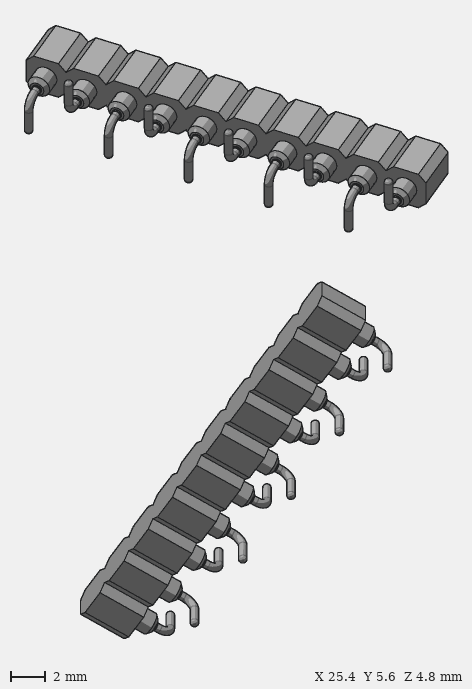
import cadquery as cq

cell_count = 10
housing_length = 25.4
pitch = housing_length / cell_count
housing_height = 2.55
housing_depth = 3.0
cell_chamfer = 0.48

sleeve_diameter = 1.37
sleeve_length = 1.22
sleeve_chamfer = 0.25
collar_diameter = 0.58
collar_length = 0.1

overall_depth = 5.6
pin_span = 4.8
pin_diameter = 0.5
bend_radius = 0.74
tip_round = 0.2

pin_reach = overall_depth - housing_depth - pin_diameter / 2
pin_height = pin_span / 2


def cell_center(index):
    return (index - (cell_count - 1) / 2) * pitch


def make_cell(index):
    """One housing cell, front face on the plane Y = 0."""
    return (
        cq.Workplane("XY")
        .box(pitch, housing_depth, housing_height)
        .edges("|Y")
        .chamfer(cell_chamfer)
        .translate((cell_center(index), housing_depth / 2, 0))
    )


def make_sleeve():
    """Round sleeve with a chamfered front rim and a thin collar around the pin."""
    barrel = (
        cq.Workplane("XZ")
        .circle(sleeve_diameter / 2)
        .extrude(sleeve_length)
        .faces("<Y")
        .chamfer(sleeve_chamfer)
    )
    collar = (
        cq.Workplane("XZ")
        .circle(collar_diameter / 2)
        .extrude(sleeve_length + collar_length)
    )
    return barrel.union(collar)


def make_pin():
    """Round pin running forward, then bent upward to a rounded tip."""
    path = (
        cq.Workplane("YZ")
        .lineTo(bend_radius - pin_reach, 0)
        .radiusArc((-pin_reach, bend_radius), bend_radius)
        .lineTo(-pin_reach, pin_height)
    )
    pin = cq.Workplane("XZ").circle(pin_diameter / 2).sweep(path)
    return pin.faces(">Z").edges().fillet(tip_round)


upward_contact = make_sleeve().union(make_pin())
downward_contact = upward_contact.rotate((0, 0, 0), (0, 1, 0), 180)

housing = make_cell(0)
for index in range(1, cell_count):
    housing = housing.union(make_cell(index))

result = housing
for index in range(cell_count):
    contact = downward_contact if index % 2 == 0 else upward_contact
    result = result.union(contact.translate((cell_center(index), 0, 0)))